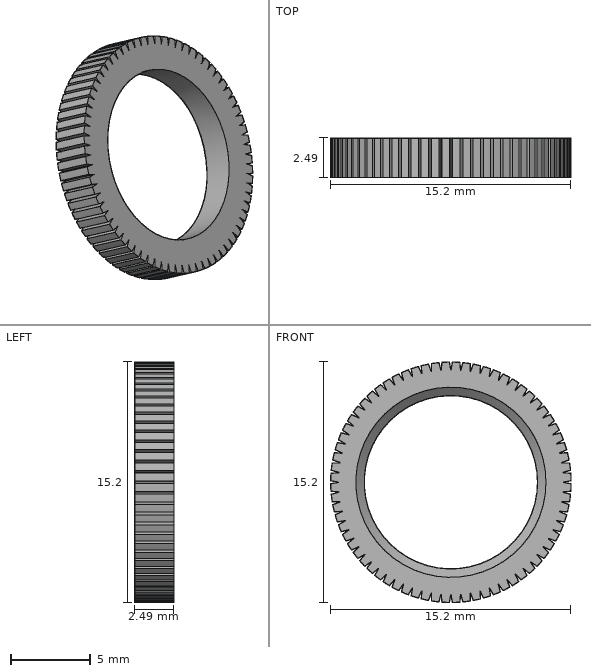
import cadquery as cq
import math

OUTER_DIAMETER = 15.19
BORE_DIAMETER = 10.92
WIDTH = 2.49

LEAD_IN_DIAMETER = 12.0
LEAD_IN_DEPTH = 0.54

GROOVE_COUNT = 72
GROOVE_DEPTH = 0.5
GROOVE_MOUTH = 0.18

outer_radius = OUTER_DIAMETER / 2
bore_radius = BORE_DIAMETER / 2
lead_in_radius = LEAD_IN_DIAMETER / 2
front_y = -WIDTH / 2
back_y = WIDTH / 2


def rim_point(radius, angle):
    """Point in the ring's XZ plane at a polar radius and angle."""
    return (radius * math.cos(angle), radius * math.sin(angle))


def grooved_disc():
    """Solid disc whose rim is an arc-topped tooth between each pair of V-grooves."""
    pitch = 2 * math.pi / GROOVE_COUNT
    half_mouth = math.asin(GROOVE_MOUTH / 2 / outer_radius)
    root_radius = outer_radius - GROOVE_DEPTH

    outline = cq.Workplane("XZ", origin=(0, back_y, 0)).moveTo(*rim_point(root_radius, 0))
    for groove in range(GROOVE_COUNT):
        root_angle = groove * pitch
        next_root_angle = root_angle + pitch
        tooth_start = rim_point(outer_radius, root_angle + half_mouth)
        tooth_middle = rim_point(outer_radius, root_angle + pitch / 2)
        tooth_end = rim_point(outer_radius, next_root_angle - half_mouth)
        outline = outline.lineTo(*tooth_start).threePointArc(tooth_middle, tooth_end)
        if groove < GROOVE_COUNT - 1:
            outline = outline.lineTo(*rim_point(root_radius, next_root_angle))
    return outline.close().extrude(WIDTH)


def bore_with_lead_in():
    """Through bore that opens out in a cone at the front face."""
    profile = (
        cq.Workplane("XY")
        .moveTo(0, front_y)
        .lineTo(lead_in_radius, front_y)
        .lineTo(bore_radius, front_y + LEAD_IN_DEPTH)
        .lineTo(bore_radius, back_y)
        .lineTo(0, back_y)
        .close()
    )
    return profile.revolve(360, (0, 0, 0), (0, 1, 0))


result = grooved_disc().cut(bore_with_lead_in())